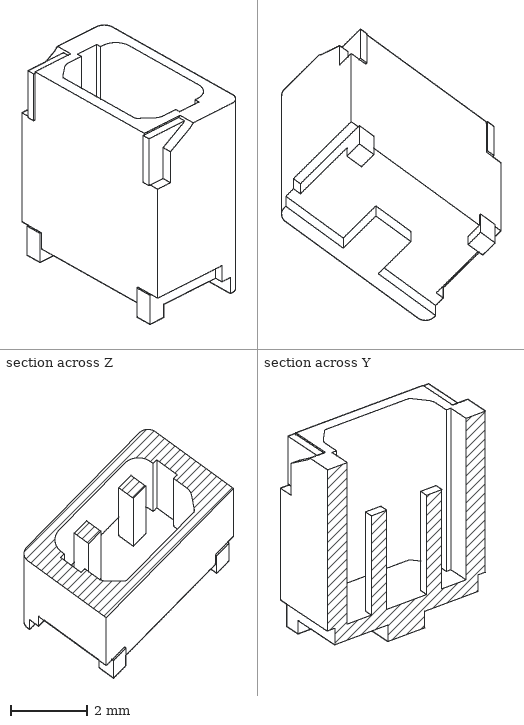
import cadquery as cq

width = 5.2
depth = 3.05
height = 5.9
contact_projection = 0.05
half_width = width / 2
back_y = depth / 2
body_front_y = -back_y + contact_projection
contact_front_y = -back_y

standoff = 0.5
back_corner_radius = 0.3
skirt_thickness = 0.365
tongue_width = 1.215
tongue_end_y = back_y - 1.68

cavity_half_width = 1.805
cavity_back_y = back_y - 0.32
cavity_front_y = back_y - 2.665
cavity_floor_z = 1.005
cavity_back_radius = 0.48
cavity_chamfer_x = 0.415
cavity_chamfer_y = 0.485
cavity_side_radius = 0.355
cavity_front_radius = 0.12
key_half_width = 1.95
key_back_y = back_y - 0.895
key_front_y = back_y - 1.595

pin_size = 0.51
pin_x = 0.91
pin_y = back_y - 0.93
pin_top_z = 4.01

leg_width = 0.51
leg_side_gap = 0.24
leg_depth = 0.5
leg_bottom_z = 0.095
leg_top_z = 2 * standoff
leg_arm_back_y = back_y - 0.67

slot_depth_x = 0.51
tab_thickness = 0.225
slot_bottom_z = 4.395
slot_back_y = back_y - 1.71
slot_lead_in = 0.1
slot_shoulder_y = back_y - 2.535
slot_shoulder_z = 5.36
tab_top_gap = 0.05


def box(x_min, x_max, y_min, y_max, z_min, z_max):
    """Axis-aligned block between opposite corners."""
    size = (x_max - x_min, y_max - y_min, z_max - z_min)
    return cq.Workplane("XY").box(*size, centered=False).translate((x_min, y_min, z_min))


def side_profile(points, x_min, x_max):
    """Solid from a closed (Y, Z) outline, spanning x_min to x_max."""
    return cq.Workplane("YZ", origin=(x_min, 0, 0)).polyline(points).close().extrude(x_max - x_min)


def both_sides(solid):
    """The solid together with its mirror image across X = 0."""
    return solid.union(solid.mirror("YZ"))


def make_body():
    body = box(-half_width, half_width, body_front_y, back_y, standoff, height)
    skirt = box(-half_width, half_width, back_y - skirt_thickness, back_y, 0, standoff)
    tongue = box(-tongue_width / 2, tongue_width / 2, tongue_end_y, back_y - skirt_thickness, 0, standoff)
    body = body.union(skirt).union(tongue)
    return body.edges("|Z and >Y").fillet(back_corner_radius)


def make_cavity():
    front_half_width = cavity_half_width - cavity_chamfer_x
    chamfer_back_y = cavity_front_y + cavity_chamfer_y
    cavity = (
        cq.Workplane("XY", origin=(0, 0, cavity_floor_z))
        .moveTo(-front_half_width, cavity_front_y)
        .lineTo(front_half_width, cavity_front_y)
        .lineTo(cavity_half_width, chamfer_back_y)
        .lineTo(cavity_half_width, cavity_back_y)
        .lineTo(-cavity_half_width, cavity_back_y)
        .lineTo(-cavity_half_width, chamfer_back_y)
        .close()
        .extrude(height - cavity_floor_z)
    )
    cavity = cavity.edges("|Z and >Y").fillet(cavity_back_radius)
    cavity = cavity.edges("|Z and <Y").fillet(cavity_front_radius)
    for side in (-1, 1):
        corner = cq.selectors.NearestToPointSelector(
            (side * cavity_half_width, chamfer_back_y, (cavity_floor_z + height) / 2)
        )
        cavity = cavity.edges(corner).fillet(cavity_side_radius)
    keyway = box(-key_half_width, key_half_width, key_front_y, key_back_y, cavity_floor_z, height)
    return cavity.union(keyway)


def make_pin():
    half = pin_size / 2
    return box(pin_x - half, pin_x + half, pin_y - half, pin_y + half, cavity_floor_z, pin_top_z)


def make_leg_recess():
    """Open side recess along the horizontal arm of a leg."""
    return box(half_width - leg_side_gap, half_width, body_front_y, leg_arm_back_y, standoff, leg_top_z)


def make_leg():
    outer_x = half_width - leg_side_gap
    outline = [
        (leg_arm_back_y, standoff),
        (leg_arm_back_y, leg_top_z),
        (contact_front_y, leg_top_z),
        (contact_front_y, leg_bottom_z),
        (contact_front_y + leg_depth, leg_bottom_z),
        (contact_front_y + leg_depth, standoff),
    ]
    return side_profile(outline, outer_x - leg_width, outer_x)


def tab_outline(front_y, start_drop):
    """Outline shared by slot and tab; start_drop lowers its top below the body top."""
    return [
        (slot_back_y - start_drop, height - start_drop),
        (slot_back_y - slot_lead_in, height - slot_lead_in),
        (slot_shoulder_y, slot_shoulder_z),
        (slot_shoulder_y, slot_bottom_z),
        (front_y, slot_bottom_z),
        (front_y, height - start_drop),
    ]


def make_tab_slot():
    return side_profile(tab_outline(body_front_y, 0), half_width - slot_depth_x, half_width)


def make_tab():
    inner_x = half_width - slot_depth_x
    return side_profile(tab_outline(contact_front_y, tab_top_gap), inner_x, inner_x + tab_thickness)


result = make_body().cut(make_cavity())
for cut_feature in (make_leg_recess(), make_tab_slot()):
    result = result.cut(both_sides(cut_feature))
for contact in (make_pin(), make_leg(), make_tab()):
    result = result.union(both_sides(contact))